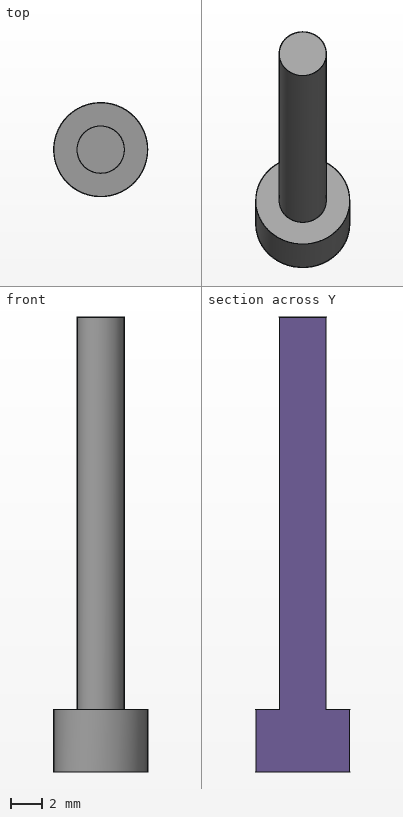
import cadquery as cq

total_length = 29.0
head_diameter = 6.0
head_height = 4.0
shank_diameter = 3.02
shank_length = total_length - head_height

head = cq.Workplane("XY").circle(head_diameter / 2).extrude(head_height)

result = head.faces(">Z").workplane().circle(shank_diameter / 2).extrude(shank_length)